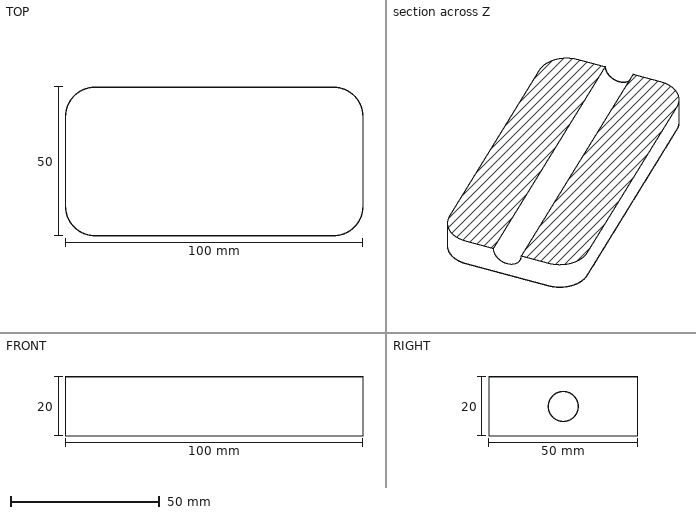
import cadquery as cq

length = 100.0
width = 50.0
height = 20.0
corner_radius = 10.0
bore_diameter = 10.0


def rounded_block():
    """Plain block, centred on the origin, with its four upright edges rounded."""
    block = cq.Workplane("XY").box(length, width, height)
    return block.edges("|Z").fillet(corner_radius)


def lengthwise_bore():
    """Cylinder that runs the full length of the block along its X axis."""
    bore_circle = cq.Workplane("YZ").circle(bore_diameter / 2)
    return bore_circle.extrude(length / 2, both=True)


result = rounded_block().cut(lengthwise_bore())